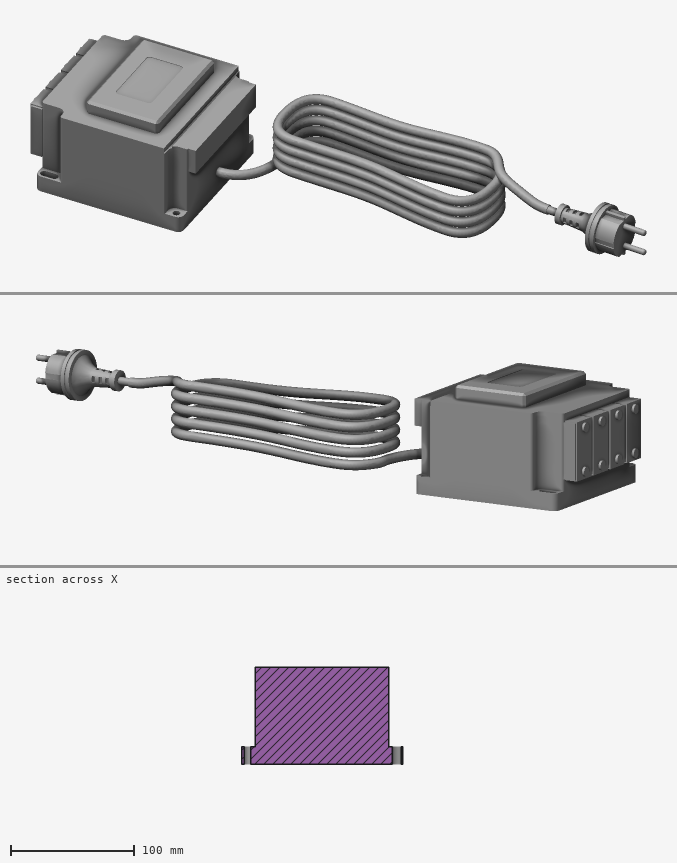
import cadquery as cq
import math


HOUSING_CENTRE = (-197.5, -53.0)
HOUSING_TURN = 3.35
BASE_LENGTH = 133.0
BASE_WIDTH = 130.5
BASE_CORNER_RADIUS = 5.0
BODY_TOP = 78.5

LID_LENGTH = 65.5
LID_WIDTH = 100.0
LID_OFFSET = 4.5
LID_TOP = 90.0
LID_CHAMFER = 2.0
LABEL_OFFSET = 3.5
LABEL_LENGTH = 33.0
LABEL_WIDTH = 58.5
LABEL_DEPTH = 0.5
LABEL_RADIUS = 3.0

NOTCH_FLOOR = 14.5
NOTCH_WIDTH = 11.5
NOTCH_RADIUS = 6.0
SLOT_NOTCH_LENGTH = 22.5
SLOT_NOTCH_EDGE = 2.5
SLOT_LENGTH = 16.0
SLOT_WIDTH = 7.0
SLOT_END_GAP = 10.5
HOLE_NOTCH_LENGTH = 14.5
HOLE_NOTCH_EDGE = 1.0
MOUNT_HOLE_DIAMETER = 6.0
MOUNT_SIDE_GAP = 5.0
HOLE_END_GAP = 7.0

SHELF_TOP = 75.5
SHELF_LENGTH = HOLE_NOTCH_LENGTH + HOLE_NOTCH_EDGE
LIP_OVERHANG = 7.0
LIP_WIDTH = 105.0
LIP_BOTTOM = 53.0
SEAM_WIDTH = 2.5
SEAM_DEPTH = 1.5

TERMINAL_COUNT = 4
TERMINAL_PITCH = 26.5
TERMINAL_WIDTH = 23.0
TERMINAL_DEPTH = 11.5
TERMINAL_BOTTOM = 23.5
TERMINAL_TOP = 72.5
STRIP_WIDTH = 106.0
STRIP_STEP = 1.0
SCREW_DIAMETER = 8.0
SCREW_HEIGHT = 2.0
SCREW_LEVELS = (29.5, 66.0)

CABLE_DIAMETER = 8.5
CABLE_START_Z = 20.0
COIL_PITCH = 10.5
COIL_SIDES = 9
COIL_END = (96.5, 0)
COIL_SHOULDER = (92.0, 21.0)
COIL_CORNER = (71.5, 31.0)
COIL_WAIST = (0, 27.0)
SHOULDER_ANGLE = 60
LEAD_IN = [(-106.5, -37.5, CABLE_START_Z), (-99.0, -22.0, CABLE_START_Z), (-96.5, 0, CABLE_START_Z)]
LEAD_OUT = [(97.0, 13.0, 64.0), (117.5, 4.0, 60.0), (133.0, 1.0, 56.0)]

PLUG_AXIS_Z = 54.0
PLUG_START = 150.0
COLLAR_START = 160.5
NECK_START = 165.0
BELL_START = 185.0
FLANGE_START = 196.5
FACE_START = 204.0
FACE_END = 221.5
PIN_END = 241.0

STUB_DIAMETER = 7.0
COLLAR_DIAMETER = 17.0
NECK_START_DIAMETER = 13.0
NECK_END_DIAMETER = 15.5
BELL_END_DIAMETER = 33.5
FLANGE_DIAMETER = 41.5
FLANGE_GROOVE_WIDTH = 1.5
FLANGE_GROOVE_DEPTH = 1.0
FACE_DIAMETER = 35.5
PIN_DIAMETER = 5.0
PIN_SPACING = 19.0
PIN_TIP_FILLET = 1.5

WINDOW_LENGTH = 3.0
WINDOW_WIDTH = 5.0
WINDOW_FLOOR = 4.5
WINDOW_COUNT = 3
WINDOW_PITCH = 6.0
EARTH_RECESS_WIDTH = 15.5
EARTH_RECESS_FLOOR = 15.5
EARTH_RIB_WIDTH = 2.5
EARTH_RIB_TOP = 18.0
SIDE_GROOVE_WIDTH = 4.5
SIDE_GROOVE_FLOOR = 16.5

HALF_LENGTH = BASE_LENGTH / 2
HALF_WIDTH = BASE_WIDTH / 2


def box(x_range, y_range, z_range):
    """Box between two limits along each axis."""
    (x0, x1), (y0, y1), (z0, z1) = x_range, y_range, z_range
    return cq.Workplane("XY").box(x1 - x0, y1 - y0, z1 - z0, centered=False).translate((x0, y0, z0))


def make_notch(end, side, length, edge):
    """Cutter for a corner notch; end and side are the signs of the corner's X and Y."""
    reach = 5.0
    to_edge_middle = edge * (1 - math.sqrt(0.5))
    to_corner_middle = NOTCH_RADIUS * (1 - math.sqrt(0.5))

    def corner_point(from_end, from_side):
        return end * (HALF_LENGTH - from_end), side * (HALF_WIDTH - from_side)

    return (
        cq.Workplane("XY", origin=(0, 0, NOTCH_FLOOR))
        .moveTo(*corner_point(-reach, -reach))
        .lineTo(*corner_point(-reach, NOTCH_WIDTH + edge))
        .lineTo(*corner_point(0, NOTCH_WIDTH + edge))
        .threePointArc(
            corner_point(to_edge_middle, NOTCH_WIDTH + to_edge_middle),
            corner_point(edge, NOTCH_WIDTH),
        )
        .lineTo(*corner_point(length - NOTCH_RADIUS, NOTCH_WIDTH))
        .threePointArc(
            corner_point(length - to_corner_middle, NOTCH_WIDTH - to_corner_middle),
            corner_point(length, NOTCH_WIDTH - NOTCH_RADIUS),
        )
        .lineTo(*corner_point(length, edge))
        .threePointArc(
            corner_point(length + to_edge_middle, to_edge_middle),
            corner_point(length + edge, 0),
        )
        .lineTo(*corner_point(length + edge, -reach))
        .close()
        .extrude(BODY_TOP - NOTCH_FLOOR)
    )


def make_lid():
    lid = (
        cq.Workplane("XY", origin=(LID_OFFSET, 0, BODY_TOP))
        .rect(LID_LENGTH, LID_WIDTH)
        .extrude(LID_TOP - BODY_TOP)
        .edges("|Z or >Z")
        .chamfer(LID_CHAMFER)
    )
    label = (
        cq.Workplane("XY", origin=(LABEL_OFFSET, 0, LID_TOP - LABEL_DEPTH))
        .rect(LABEL_LENGTH, LABEL_WIDTH)
        .extrude(LABEL_DEPTH)
        .edges("|Z")
        .fillet(LABEL_RADIUS)
    )
    return lid.cut(label)


def make_terminals():
    """Terminal strip on the -X end, with one block and two screws per terminal."""
    face = -HALF_LENGTH - TERMINAL_DEPTH
    strip = box(
        (face + STRIP_STEP, -HALF_LENGTH),
        (-STRIP_WIDTH / 2, STRIP_WIDTH / 2),
        (TERMINAL_BOTTOM + STRIP_STEP, TERMINAL_TOP - STRIP_STEP),
    )
    for index in range(TERMINAL_COUNT):
        middle = (index - (TERMINAL_COUNT - 1) / 2) * TERMINAL_PITCH
        block = box(
            (face, -HALF_LENGTH),
            (middle - TERMINAL_WIDTH / 2, middle + TERMINAL_WIDTH / 2),
            (TERMINAL_BOTTOM, TERMINAL_TOP),
        )
        strip = strip.union(block)
        for level in SCREW_LEVELS:
            screw = (
                cq.Workplane("YZ", origin=(face, middle, level))
                .circle(SCREW_DIAMETER / 2)
                .extrude(-SCREW_HEIGHT)
            )
            strip = strip.union(screw)
    return strip


def make_housing():
    housing = (
        cq.Workplane("XY")
        .rect(BASE_LENGTH, BASE_WIDTH)
        .extrude(BODY_TOP)
        .edges("|Z")
        .fillet(BASE_CORNER_RADIUS)
    )

    shelf_start = HALF_LENGTH - SHELF_LENGTH
    full_width = (-HALF_WIDTH, HALF_WIDTH)
    step = box((shelf_start, HALF_LENGTH), full_width, (SHELF_TOP, BODY_TOP))
    seam = box((shelf_start, shelf_start + SEAM_WIDTH), full_width, (SHELF_TOP - SEAM_DEPTH, SHELF_TOP))
    lip = box(
        (HALF_LENGTH, HALF_LENGTH + LIP_OVERHANG),
        (-LIP_WIDTH / 2, LIP_WIDTH / 2),
        (LIP_BOTTOM, SHELF_TOP),
    )
    housing = housing.cut(step).cut(seam).union(lip)

    mount_y = HALF_WIDTH - MOUNT_SIDE_GAP
    for side in (-1, 1):
        housing = housing.cut(make_notch(-1, side, SLOT_NOTCH_LENGTH, SLOT_NOTCH_EDGE))
        housing = housing.cut(make_notch(1, side, HOLE_NOTCH_LENGTH, HOLE_NOTCH_EDGE))
        slot = (
            cq.Workplane("XY", origin=(SLOT_END_GAP - HALF_LENGTH, side * mount_y, 0))
            .slot2D(SLOT_LENGTH, SLOT_WIDTH)
            .extrude(NOTCH_FLOOR)
        )
        hole = (
            cq.Workplane("XY", origin=(HALF_LENGTH - HOLE_END_GAP, side * mount_y, 0))
            .circle(MOUNT_HOLE_DIAMETER / 2)
            .extrude(NOTCH_FLOOR)
        )
        housing = housing.cut(slot).cut(hole)

    housing = housing.union(make_lid()).union(make_terminals())
    return housing.rotate((0, 0, 0), (0, 0, 1), HOUSING_TURN).translate((*HOUSING_CENTRE, 0))


def spline(points, start_direction, end_direction):
    """Smooth edge through the points, with the given directions at its two ends."""
    vectors = [cq.Vector(*point) for point in points]
    tangents = [cq.Vector(*start_direction), cq.Vector(*end_direction)]
    return cq.Edge.makeSpline(vectors, tangents=tangents)


def make_long_side(sign, low, high):
    """Long side of the coil, climbing from one level to the next; sign 1 is the +Y side."""
    (corner_x, corner_y), (waist_x, waist_y) = COIL_CORNER, COIL_WAIST
    points = [
        (-sign * corner_x, sign * corner_y, low),
        (sign * waist_x, sign * waist_y, (low + high) / 2),
        (sign * corner_x, sign * corner_y, high),
    ]
    return spline(points, (sign, 0, 0), (sign, 0, 0))


def make_coil_bends(sign, level):
    """Three edges round one coil end, all at one level; sign 1 is the +X end."""
    (corner_x, corner_y), (shoulder_x, shoulder_y), (end_x, end_y) = COIL_CORNER, COIL_SHOULDER, COIL_END
    corner_in = (sign * corner_x, sign * corner_y, level)
    shoulder_in = (sign * shoulder_x, sign * shoulder_y, level)
    end = (sign * end_x, sign * end_y, level)
    shoulder_out = (sign * shoulder_x, -sign * shoulder_y, level)
    corner_out = (sign * corner_x, -sign * corner_y, level)
    slope = math.radians(SHOULDER_ANGLE)
    turning_in = (sign * math.cos(slope), -sign * math.sin(slope), 0)
    turning_out = (-sign * math.cos(slope), -sign * math.sin(slope), 0)
    return [
        spline([corner_in, shoulder_in], (sign, 0, 0), turning_in),
        spline([shoulder_in, end, shoulder_out], turning_in, turning_out),
        spline([shoulder_out, corner_out], turning_out, (-sign, 0, 0)),
    ]


def make_cable():
    """Cable from the middle of the housing's +X end, through the coil, to the plug."""
    turn = math.radians(HOUSING_TURN)
    exit_direction = (math.cos(turn), math.sin(turn), 0)
    start = (
        HOUSING_CENTRE[0] + HALF_LENGTH * exit_direction[0],
        HOUSING_CENTRE[1] + HALF_LENGTH * exit_direction[1],
        CABLE_START_Z,
    )

    first_corner = make_coil_bends(-1, CABLE_START_Z)[-1]
    shoulder_direction = first_corner.tangentAt(0).toTuple()
    lead_in_points = [start, *LEAD_IN, first_corner.startPoint().toTuple()]
    edges = [spline(lead_in_points, exit_direction, shoulder_direction), first_corner]

    for index in range(COIL_SIDES):
        sign = 1 if index % 2 == 0 else -1
        low = CABLE_START_Z + index * COIL_PITCH / 2
        high = low + COIL_PITCH / 2
        edges.append(make_long_side(sign, low, high))
        if index < COIL_SIDES - 1:
            edges += make_coil_bends(sign, high)

    plug_end = (PLUG_START, 0, PLUG_AXIS_Z)
    lead_out_points = [edges[-1].endPoint().toTuple(), *LEAD_OUT, plug_end]
    edges.append(spline(lead_out_points, (1, 0, 0), (1, 0, 0)))

    path = cq.Wire.assembleEdges(edges)
    section = cq.Plane(origin=start, normal=exit_direction)
    return cq.Workplane(section).circle(CABLE_DIAMETER / 2).sweep(path)


def make_plug_shell():
    """Turned shape of the plug: stub, collar, tapered neck, flared bell, flange and face."""
    flange_middle = (FLANGE_START + FACE_START) / 2
    bell_bend = (189.5, 10.0)
    profile = (
        cq.Workplane("XY")
        .moveTo(PLUG_START, 0)
        .lineTo(PLUG_START, STUB_DIAMETER / 2)
        .lineTo(COLLAR_START, STUB_DIAMETER / 2)
        .lineTo(COLLAR_START, COLLAR_DIAMETER / 2)
        .lineTo(NECK_START, COLLAR_DIAMETER / 2)
        .lineTo(NECK_START, NECK_START_DIAMETER / 2)
        .lineTo(BELL_START, NECK_END_DIAMETER / 2)
        .threePointArc(bell_bend, (FLANGE_START, BELL_END_DIAMETER / 2))
        .lineTo(FLANGE_START, FLANGE_DIAMETER / 2)
        .lineTo(FACE_START, FLANGE_DIAMETER / 2)
        .lineTo(FACE_START, FACE_DIAMETER / 2)
        .lineTo(FACE_END, FACE_DIAMETER / 2)
        .lineTo(FACE_END, 0)
        .close()
    )
    shell = profile.revolve(360, (0, 0, 0), (1, 0, 0))
    groove = (
        cq.Workplane("YZ", origin=(flange_middle - FLANGE_GROOVE_WIDTH / 2, 0, 0))
        .circle(FLANGE_DIAMETER / 2)
        .circle(FLANGE_DIAMETER / 2 - FLANGE_GROOVE_DEPTH)
        .extrude(FLANGE_GROOVE_WIDTH)
    )
    return shell.cut(groove)


def around_axis(cutter, angle):
    return cutter.rotate((0, 0, 0), (1, 0, 0), angle)


def make_plug():
    plug = make_plug_shell()

    neck_middle = (NECK_START + BELL_START) / 2
    half_window = WINDOW_WIDTH / 2
    for index in range(WINDOW_COUNT):
        middle = neck_middle + (index - (WINDOW_COUNT - 1) / 2) * WINDOW_PITCH
        window = box(
            (middle - WINDOW_LENGTH / 2, middle + WINDOW_LENGTH / 2),
            (-half_window, half_window),
            (WINDOW_FLOOR, NECK_END_DIAMETER),
        )
        for angle in (0, 90, 180, 270):
            plug = plug.cut(around_axis(window, angle))

    face_span = (FACE_START, FACE_END)
    recess = box(
        face_span,
        (-EARTH_RECESS_WIDTH / 2, EARTH_RECESS_WIDTH / 2),
        (EARTH_RECESS_FLOOR, FACE_DIAMETER),
    )
    rib = box(
        face_span,
        (-EARTH_RIB_WIDTH / 2, EARTH_RIB_WIDTH / 2),
        (EARTH_RECESS_FLOOR, EARTH_RIB_TOP),
    )
    groove = box(
        face_span,
        (-SIDE_GROOVE_WIDTH / 2, SIDE_GROOVE_WIDTH / 2),
        (SIDE_GROOVE_FLOOR, FACE_DIAMETER),
    )
    for angle in (0, 180):
        plug = plug.cut(around_axis(recess, angle)).union(around_axis(rib, angle))
        plug = plug.cut(around_axis(groove, angle + 90))

    pins = (
        cq.Workplane("YZ", origin=(FACE_END, 0, 0))
        .pushPoints([(0, -PIN_SPACING / 2), (0, PIN_SPACING / 2)])
        .circle(PIN_DIAMETER / 2)
        .extrude(PIN_END - FACE_END)
        .faces(">X")
        .edges()
        .fillet(PIN_TIP_FILLET)
    )
    return plug.union(pins).translate((0, 0, PLUG_AXIS_Z))


housing = make_housing()
cable = make_cable()
plug = make_plug()

result = cq.Compound.makeCompound([housing.val(), cable.val(), plug.val()])